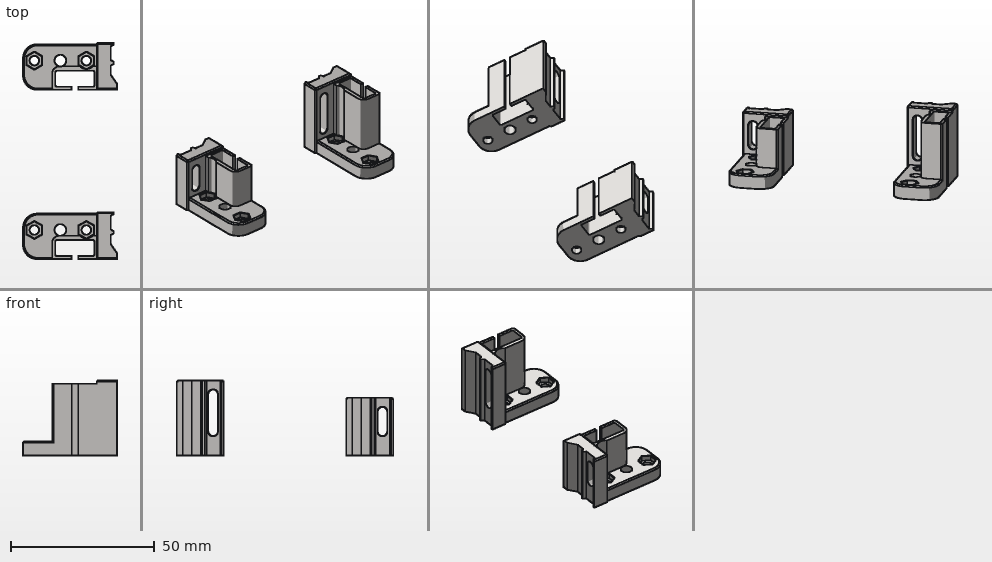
import cadquery as cq
import math

bracket_length = 32.7
bracket_width = 16.4
span_y = 75.2
tall_height = 26.1
short_height = 20.1
edge_chamfer = 0.5
small_bevel = 0.15
bevel_angle = 45

plate_width = bracket_width - edge_chamfer
plate_thickness = 5.0
plate_corner_radius = 5.05

head_start = 25.6
head_overlap = 1.5
saddle_floor = 30.5
saddle_tooth_tip = 31.6
ramp_start_y = 2.1
ramp_end_y = 5.3
tooth_root_y = (8.4, 10.4)
tooth_tip_y = (8.95, 9.7)
lip_root_y = 15.1
lip_tip_y = 15.65

channel_start = 10.15
channel_width = 8.1
channel_corner_radius = 2.5
channel_drop = 1.1
cavity_start = 11.3
cavity_length = 13.5
cavity_wall_y = 1.1
cavity_width = 5.5
cavity_corner_radius = 0.5
gap_width = 2.25

hole_line_y = 10.15
hole_pitch = 9.0
first_hole_x = 4.0
screw_diameter = 3.2
centre_hole_diameter = 4.0
nut_flats = 5.2
nut_depth = 1.95
hexagon_turn = 30
access_diameter = 5.9

slot_y = 12.6
slot_width = 3.2
slot_turn = 90
slot_bottom = 6.8
slot_top_margin = 3.2

nut_hole_xs = (first_hole_x, first_hole_x + 2 * hole_pitch)
centre_hole_x = first_hole_x + hole_pitch


def make_plate():
    """Plate with two rounded corners and a chamfered top rim."""
    length = head_start + head_overlap
    plate = cq.Workplane("XY").box(length, plate_width, plate_thickness, centered=False)
    plate = plate.edges("|Z and <X").fillet(plate_corner_radius)
    return plate.faces(">Z").chamfer(edge_chamfer)


def make_head(height):
    """Head block whose +X end is a saddle with a ramp, a tooth and a lip."""
    outline = [
        (head_start, 0),
        (bracket_length, 0),
        (bracket_length, ramp_start_y),
        (saddle_floor, ramp_end_y),
        (saddle_floor, tooth_root_y[0]),
        (saddle_tooth_tip, tooth_tip_y[0]),
        (saddle_tooth_tip, tooth_tip_y[1]),
        (saddle_floor, tooth_root_y[1]),
        (saddle_floor, lip_root_y),
        (saddle_tooth_tip, lip_tip_y),
        (saddle_tooth_tip, bracket_width),
        (head_start, bracket_width),
    ]
    head = cq.Workplane("XY").polyline(outline).close().extrude(height)
    rim = head.faces(">Z").edges("<X or <Y or >Y")
    corner = head.edges("|Z and <X").edges(">Y")
    return rim.add(corner).chamfer(edge_chamfer)


def make_channel(height):
    """Solid channel block: rounded inner corner, chamfered outer corner."""
    length = head_start + head_overlap - channel_start
    channel = cq.Workplane("XY").box(length, channel_width, height, centered=False)
    channel = channel.translate((channel_start, 0, 0))
    channel = channel.edges("|Z and <X and >Y").fillet(channel_corner_radius)
    return channel.edges("|Z and <X and <Y").chamfer(edge_chamfer)


def make_channel_cut(height):
    """Rectangular cavity with its narrow opening in the -Y wall."""
    cavity = cq.Workplane("XY").box(cavity_length, cavity_width, height, centered=False)
    cavity = cavity.edges("|Z").fillet(cavity_corner_radius)
    cavity = cavity.translate((cavity_start, cavity_wall_y, 0))
    gap_start = cavity_start + (cavity_length - gap_width) / 2
    gap = cq.Workplane("XY").box(gap_width, 2 * cavity_wall_y, height, centered=False)
    return cavity.union(gap.translate((gap_start, 0, 0)))


def draw_hexagon(plane, flats):
    """Hexagon outline given its width across flats."""
    corners = flats / math.cos(math.pi / 6)
    return plane.transformed(rotate=(0, 0, hexagon_turn)).polygon(6, corners)


def make_nut_cut(x):
    """Screw hole with a hexagonal nut pocket, a bevelled rim and round access above."""
    plate_top = cq.Workplane("XY", origin=(x, hole_line_y, plate_thickness))
    screw = plate_top.circle(screw_diameter / 2).extrude(-plate_thickness)
    pocket = draw_hexagon(plate_top, nut_flats).extrude(-nut_depth)
    rim = draw_hexagon(plate_top, nut_flats + 2 * small_bevel)
    rim = rim.extrude(-small_bevel, taper=bevel_angle)
    access = plate_top.circle(access_diameter / 2).extrude(tall_height)
    return screw.union(pocket).union(rim).union(access)


def make_centre_hole_cut():
    """Plain hole through the plate, midway between the two nut pockets."""
    hole = cq.Workplane("XY", origin=(centre_hole_x, hole_line_y, 0))
    return hole.circle(centre_hole_diameter / 2).extrude(plate_thickness)


def make_slot_cut(height):
    """Vertical obround through the head along X, bevelled where it enters."""
    slot_length = height - slot_top_margin - slot_bottom
    middle = slot_bottom + slot_length / 2
    entry = cq.Workplane("YZ", origin=(head_start, slot_y, middle))
    slot = entry.slot2D(slot_length, slot_width, slot_turn).extrude(bracket_length - head_start)
    bevel = entry.slot2D(slot_length + 2 * small_bevel, slot_width + 2 * small_bevel, slot_turn)
    return slot.union(bevel.extrude(small_bevel, taper=bevel_angle))


def make_bracket(height, y):
    """One bracket of the given height, with its -Y side at y."""
    channel_height = height - channel_drop
    bracket = make_plate().union(make_channel(channel_height)).union(make_head(height))
    for x in nut_hole_xs:
        bracket = bracket.cut(make_nut_cut(x))
    bracket = bracket.cut(make_channel_cut(channel_height))
    bracket = bracket.cut(make_centre_hole_cut())
    bracket = bracket.cut(make_slot_cut(height))
    return bracket.translate((0, y, 0))


tall_bracket = make_bracket(tall_height, 0)
short_bracket = make_bracket(short_height, span_y - bracket_width)

result = cq.Compound.makeCompound([tall_bracket.val(), short_bracket.val()])